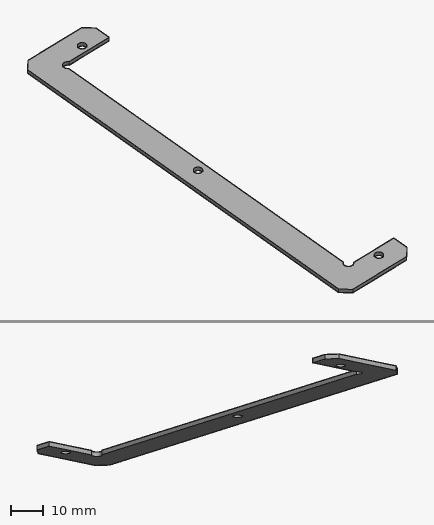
import cadquery as cq

length = 146.0
depth = 28.6
thickness = 1.5

arm_width = 9.0
bar_width = 9.6
corner_chamfer = 3.0

relief_radius = 1.6
relief_offset = 0.9

hole_diameter = 2.9
arm_hole_from_side = 6.3
arm_hole_from_tip = 8.8
bar_hole_from_edge = 6.3

plate = (
    cq.Workplane("XY")
    .box(length, depth, thickness, centered=(True, True, False))
    .edges("|Z")
    .chamfer(corner_chamfer)
)

opening_width = length - 2 * arm_width
opening_depth = depth - bar_width
inner_edge_y = -depth / 2 + bar_width
opening = (
    cq.Workplane("XY")
    .center(0, inner_edge_y + opening_depth / 2)
    .rect(opening_width, opening_depth)
    .extrude(thickness)
)


def round_cut(points, diameter):
    """Cylinders through the plate thickness at the given points."""
    return cq.Workplane("XY").pushPoints(points).circle(diameter / 2).extrude(thickness)


relief_x = opening_width / 2 - relief_offset
relief_y = inner_edge_y + relief_offset
reliefs = round_cut([(-relief_x, relief_y), (relief_x, relief_y)], 2 * relief_radius)

arm_hole_x = length / 2 - arm_hole_from_side
arm_hole_y = depth / 2 - arm_hole_from_tip
bar_hole_y = -depth / 2 + bar_hole_from_edge
hole_points = [(-arm_hole_x, arm_hole_y), (arm_hole_x, arm_hole_y), (0, bar_hole_y)]
holes = round_cut(hole_points, hole_diameter)

result = plate.cut(opening).cut(reliefs).cut(holes)